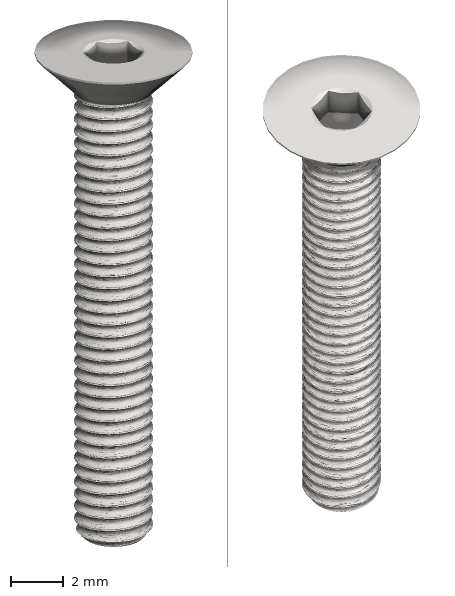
import cadquery as cq
import math

length = 20.0
head_diameter = 6.0
thread_diameter = 3.0
minor_diameter = 2.35
head_radius = head_diameter / 2
thread_radius = thread_diameter / 2
minor_radius = minor_diameter / 2

rim_height = 0.08
cone_height = head_radius - thread_radius
head_bottom = length - rim_height - cone_height

pitch = 0.5
crest_flat = 0.05
root_flat = 0.12
thread_phase = 0.18
flank_steps = 6

tip_diameter = 2.3
tip_radius = tip_diameter / 2
cutter_overshoot = 0.05

socket_across_flats = 2.0
socket_depth = 1.15
socket_chamfer_diameter = 2.35
socket_chamfer_angle = 30.0


def thread_point(radius, groove_offset):
    """Point of the z = 0 section at an axial distance from the groove centre."""
    angle = 2 * math.pi * (groove_offset - thread_phase) / pitch
    return (radius * math.cos(angle), radius * math.sin(angle))


def flank(start, end):
    """Points after the start of a spiral flank between two (radius, offset) pairs."""
    points = []
    for step in range(1, flank_steps + 1):
        fraction = step / flank_steps
        radius = start[0] + fraction * (end[0] - start[0])
        offset = start[1] + fraction * (end[1] - start[1])
        points.append(thread_point(radius, offset))
    return points


def make_thread():
    """Right-handed thread: its horizontal section twisted one turn per pitch."""
    root_half = root_flat / 2
    crest_half = (pitch - crest_flat) / 2
    section = (
        cq.Workplane("XY")
        .moveTo(*thread_point(minor_radius, -root_half))
        .threePointArc(thread_point(minor_radius, 0), thread_point(minor_radius, root_half))
        .spline(flank((minor_radius, root_half), (thread_radius, crest_half)), includeCurrent=True)
        .threePointArc(
            thread_point(thread_radius, pitch / 2),
            thread_point(thread_radius, pitch - crest_half),
        )
        .spline(flank((thread_radius, -crest_half), (minor_radius, -root_half)), includeCurrent=True)
        .close()
    )
    return section.twistExtrude(head_bottom, 360 * head_bottom / pitch)


def make_tip_cutter():
    """Triangular ring that bevels the thread end at 45 degrees."""
    outer_radius = thread_radius + cutter_overshoot
    bevel_height = outer_radius - tip_radius
    profile = cq.Workplane("XZ").polyline([
        (tip_radius - cutter_overshoot, -cutter_overshoot),
        (outer_radius, bevel_height),
        (outer_radius, -cutter_overshoot),
    ]).close()
    return profile.revolve(360, (0, 0, 0), (0, 1, 0))


def make_head():
    """Countersunk head revolved about the screw axis."""
    profile = cq.Workplane("XZ").polyline([
        (0, head_bottom),
        (thread_radius, head_bottom),
        (head_radius, length - rim_height),
        (head_radius, length),
        (0, length),
    ]).close()
    return profile.revolve(360, (0, 0, 0), (0, 1, 0))


def make_socket():
    """Hexagonal recess with corners on the Y axis and a conical lead-in."""
    across_corners = socket_across_flats / math.cos(math.radians(30))
    hexagon = (
        cq.Workplane("XY", origin=(0, 0, length - socket_depth))
        .transformed(rotate=(0, 0, 90))
        .polygon(6, across_corners)
        .extrude(socket_depth)
    )
    lead_in_radius = socket_chamfer_diameter / 2
    lead_in_depth = lead_in_radius * math.tan(math.radians(socket_chamfer_angle))
    lead_in = cq.Workplane(obj=cq.Solid.makeCone(
        0, lead_in_radius, lead_in_depth, pnt=cq.Vector(0, 0, length - lead_in_depth)
    ))
    return hexagon.union(lead_in)


threaded_shank = make_thread().cut(make_tip_cutter())
result = threaded_shank.union(make_head().cut(make_socket()))